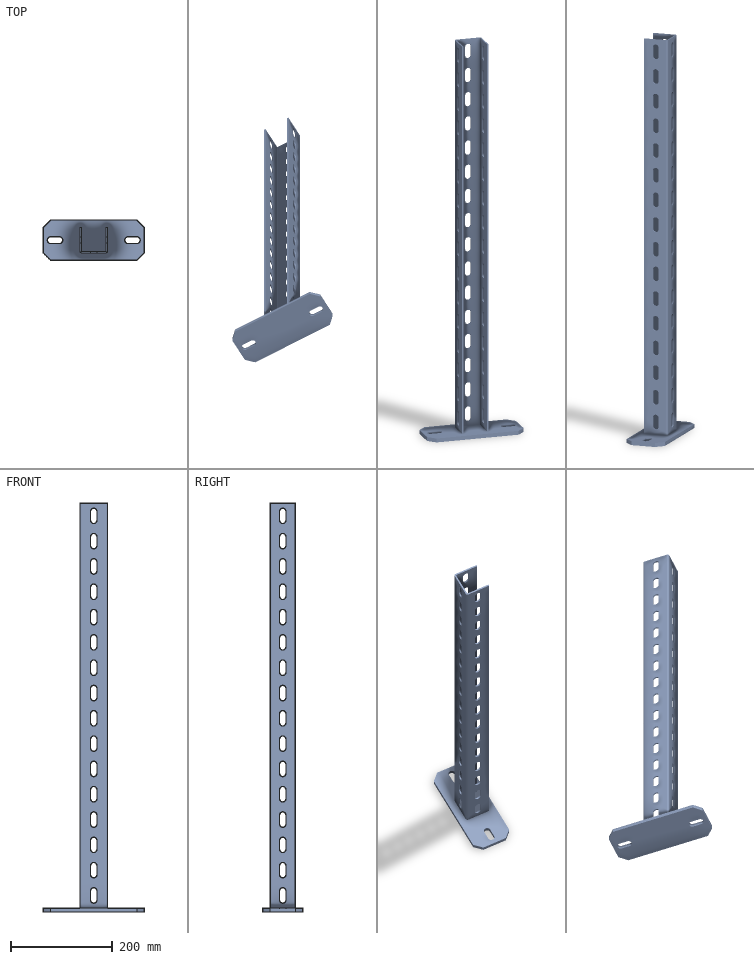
import cadquery as cq

PLATE_LENGTH = 200.0
PLATE_WIDTH = 80.0
PLATE_THICKNESS = 8.0
CORNER_CHAMFER = 15.0
PLATE_SLOT_LENGTH = 30.0
PLATE_SLOT_WIDTH = 13.0
PLATE_SLOT_SPACING = 153.0

POST_HEIGHT = 800.0
POST_WIDTH = 55.0
POST_DEPTH = 50.0
SHEET_THICKNESS = 3.0
BEND_RADIUS_INSIDE = 1.0
BEND_RADIUS_OUTSIDE = BEND_RADIUS_INSIDE + SHEET_THICKNESS

SLOT_LENGTH = 30.0
SLOT_WIDTH = 12.0
SLOT_PITCH = 50.0
SLOT_COUNT = int(POST_HEIGHT / SLOT_PITCH)
FIRST_SLOT_HEIGHT = SLOT_PITCH / 2

VERTICAL = 90.0


def make_base_plate():
    """Flat plate with cut corners and a mounting slot near each end."""
    plate = (
        cq.Workplane("XY")
        .rect(PLATE_LENGTH, PLATE_WIDTH)
        .extrude(PLATE_THICKNESS)
        .edges("|Z")
        .chamfer(CORNER_CHAMFER)
    )
    slot_cutter = (
        cq.Workplane("XY")
        .pushPoints([(side * PLATE_SLOT_SPACING / 2, 0) for side in (-1, 1)])
        .slot2D(PLATE_SLOT_LENGTH, PLATE_SLOT_WIDTH)
        .extrude(PLATE_THICKNESS)
    )
    return plate.cut(slot_cutter)


def make_channel():
    """Bent sheet channel standing on the plate, with its web on the -Y side."""
    outside = (
        cq.Workplane("XY", origin=(0, 0, PLATE_THICKNESS))
        .rect(POST_WIDTH, POST_DEPTH)
        .extrude(POST_HEIGHT)
        .edges("|Z and <Y")
        .fillet(BEND_RADIUS_OUTSIDE)
    )
    inside = (
        cq.Workplane("XY", origin=(0, SHEET_THICKNESS, PLATE_THICKNESS))
        .rect(POST_WIDTH - 2 * SHEET_THICKNESS, POST_DEPTH)
        .extrude(POST_HEIGHT)
        .edges("|Z and <Y")
        .fillet(BEND_RADIUS_INSIDE)
    )
    return outside.cut(inside)


def make_slot_row(plane, origin, cut_depth):
    """Column of upright slot cutters, extruded along the normal of the plane."""
    first_slot = PLATE_THICKNESS + FIRST_SLOT_HEIGHT
    centres = [(0, first_slot + index * SLOT_PITCH) for index in range(SLOT_COUNT)]
    return (
        cq.Workplane(plane, origin=origin)
        .pushPoints(centres)
        .slot2D(SLOT_LENGTH, SLOT_WIDTH, VERTICAL)
        .extrude(cut_depth)
    )


def make_upright():
    """Channel with slots through the web and through both flanges."""
    web_slots = make_slot_row("XZ", (0, 0, 0), POST_DEPTH / 2)
    flange_slots = make_slot_row("YZ", (-POST_WIDTH / 2, 0, 0), POST_WIDTH)
    return make_channel().cut(web_slots).cut(flange_slots)


base_plate = make_base_plate()
upright = make_upright()

result = cq.Compound.makeCompound([base_plate.val(), upright.val()])